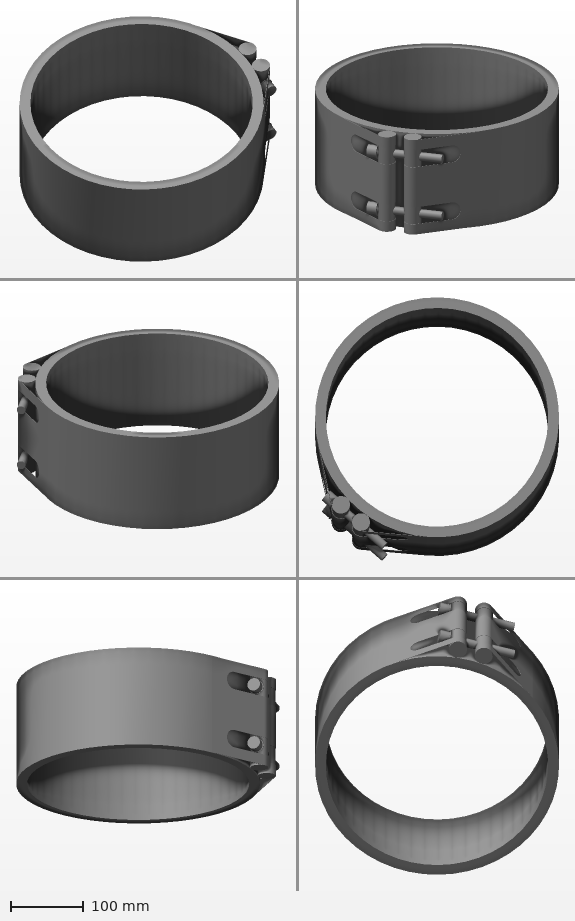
import cadquery as cq
import math

RING_HEIGHT = 141.0
RING_INNER_DIAMETER = 306.0
RING_OUTER_DIAMETER = 335.8

BAND_WIDTH = 140.0
SHEET = 0.5

PIN_DIAMETER = 24.0
PIN_SPACING = 37.2
OVERALL_BACK_Y = 191.6
WRAP_END_ANGLE = 249.0

SLOT_WIDTH = 25.0
SLOT_END_Y = 150.6

BOLT_SPACING = 84.5
BOLT_DIAMETER = 12.0
BOLT_TIP_X = -61.4
BOLT_HEAD_DIAMETER = 18.0
BOLT_HEAD_END_X = 45.5
FLANGE_DIAMETER = 20.0
FLANGE_THICKNESS = 1.2

RING_RADIUS = RING_OUTER_DIAMETER / 2
PIN_RADIUS = PIN_DIAMETER / 2
WRAP_RADIUS = PIN_RADIUS + SHEET
PIN_X = PIN_SPACING / 2
PIN_Y = OVERALL_BACK_Y - WRAP_RADIUS
LEFT_PIN = (-PIN_X, PIN_Y)
FLANGE_START_X = PIN_X + WRAP_RADIUS
FLANGE_END_X = FLANGE_START_X + FLANGE_THICKNESS
BOLT_HEIGHTS = (-BOLT_SPACING / 2, BOLT_SPACING / 2)

PIN_DIRECTION = math.degrees(math.atan2(PIN_Y, -PIN_X))
TANGENT_ANGLE = PIN_DIRECTION + math.degrees(
    math.acos((RING_RADIUS - WRAP_RADIUS) / math.hypot(PIN_X, PIN_Y))
)
NORMAL_X = math.cos(math.radians(TANGENT_ANGLE))
NORMAL_Y = math.sin(math.radians(TANGENT_ANGLE))
TANGENT_POINT = (RING_RADIUS * NORMAL_X, RING_RADIUS * NORMAL_Y)


def polar(radius, angle, center=(0.0, 0.0)):
    """Point at the given radius and angle in degrees around a center."""
    return (
        center[0] + radius * math.cos(math.radians(angle)),
        center[1] + radius * math.sin(math.radians(angle)),
    )


def extrude_centered(sketch, height):
    """Extrude an XY sketch equally above and below the XY plane."""
    return sketch.extrude(height / 2, both=True)


def mirrored_pair(left):
    """Left-hand shape together with its mirror image across the YZ plane."""
    return left.union(left.mirror("YZ"))


def flat_distance_at_y(y):
    """Distance along the flat, from its tangent point on the ring, to a place in Y."""
    return (y - TANGENT_POINT[1]) / -NORMAL_X


def flat_distance_at_x(x):
    """Distance along the flat, from its tangent point on the ring, to a place in X."""
    return (x - TANGENT_POINT[0]) / NORMAL_Y


def make_ring():
    sketch = cq.Workplane("XY").circle(RING_RADIUS).circle(RING_INNER_DIAMETER / 2)
    return extrude_centered(sketch, RING_HEIGHT)


def make_left_loop():
    """Sheet that leaves the ring along its tangent and wraps clockwise around the left pin."""
    end_angle = WRAP_END_ANGLE - 360.0
    middle_angle = (TANGENT_ANGLE + end_angle) / 2
    sketch = (
        cq.Workplane("XY")
        .moveTo(*TANGENT_POINT)
        .lineTo(*polar(WRAP_RADIUS, TANGENT_ANGLE, LEFT_PIN))
        .threePointArc(
            polar(WRAP_RADIUS, middle_angle, LEFT_PIN),
            polar(WRAP_RADIUS, end_angle, LEFT_PIN),
        )
        .lineTo(*polar(PIN_RADIUS, end_angle, LEFT_PIN))
        .threePointArc(
            polar(PIN_RADIUS, middle_angle, LEFT_PIN),
            polar(PIN_RADIUS, TANGENT_ANGLE, LEFT_PIN),
        )
        .lineTo(*polar(RING_RADIUS - SHEET, TANGENT_ANGLE))
        .close()
    )
    return extrude_centered(sketch, BAND_WIDTH)


def make_left_pin():
    sketch = cq.Workplane("XY").center(*LEFT_PIN).circle(PIN_RADIUS)
    return extrude_centered(sketch, BAND_WIDTH)


def make_left_slot(z):
    """Cutter with a semicircular end that opens the left loop around one bolt."""
    slot_radius = SLOT_WIDTH / 2
    end_distance = flat_distance_at_y(SLOT_END_Y)
    cap_center = end_distance + slot_radius
    past_wrap = flat_distance_at_x(-PIN_X) + 2 * WRAP_RADIUS
    plane = cq.Plane(
        origin=(*TANGENT_POINT, z),
        xDir=(NORMAL_Y, -NORMAL_X, 0),
        normal=(NORMAL_X, NORMAL_Y, 0),
    )
    return (
        cq.Workplane(plane)
        .moveTo(past_wrap, slot_radius)
        .lineTo(cap_center, slot_radius)
        .threePointArc((end_distance, 0), (cap_center, -slot_radius))
        .lineTo(past_wrap, -slot_radius)
        .close()
        .extrude(2 * WRAP_RADIUS, both=True)
    )


def cylinder_along_x(start_x, end_x, diameter, z):
    return (
        cq.Workplane("YZ", origin=(start_x, PIN_Y, z))
        .circle(diameter / 2)
        .extrude(end_x - start_x)
    )


def make_bolt(z):
    shank = cylinder_along_x(BOLT_TIP_X, BOLT_HEAD_END_X, BOLT_DIAMETER, z)
    flange = cylinder_along_x(FLANGE_START_X, FLANGE_END_X, FLANGE_DIAMETER, z)
    head = cylinder_along_x(FLANGE_END_X, BOLT_HEAD_END_X, BOLT_HEAD_DIAMETER, z)
    return shank.union(flange).union(head)


left_loop = make_left_loop()
for bolt_z in BOLT_HEIGHTS:
    left_loop = left_loop.cut(make_left_slot(bolt_z))
left_half = left_loop.union(make_left_pin())

result = make_ring().union(mirrored_pair(left_half))
for bolt_z in BOLT_HEIGHTS:
    result = result.union(make_bolt(bolt_z))